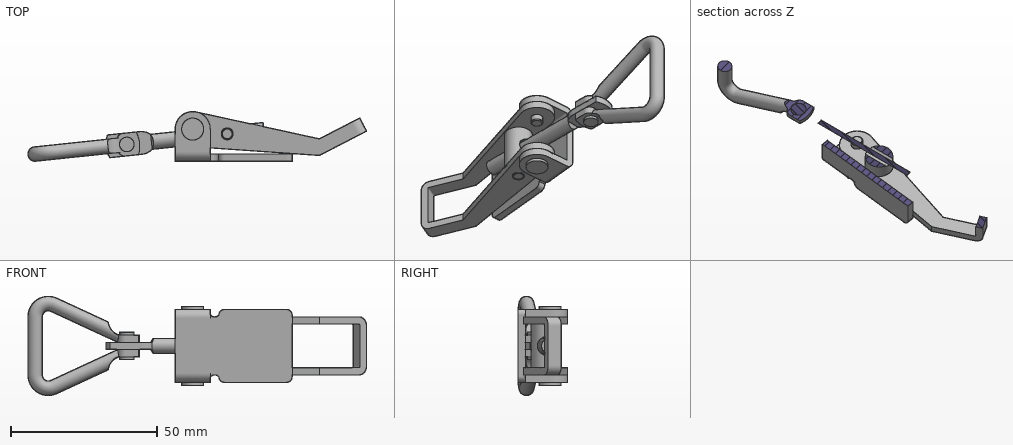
import cadquery as cq
import math


SHEET = 2.5
BEND_OUTER = 3.0
BEND_INNER = BEND_OUTER - SHEET
HUB_RADIUS = 6.0

BRACKET_WIDTH = 25.0
BRACKET_LENGTH = 40.1
PIVOT_HEIGHT = 11.0
PLATE_CORNER = 2.0
NOTCH_DEPTH = 2.5
NOTCH_START_DEPTH = 1.7
NOTCH_LENGTH = 2.9
NOTCH_ROUND = 2.0

LEVER_WIDTH = BRACKET_WIDTH - 2 * SHEET
LEVER_GAP = LEVER_WIDTH - 2 * SHEET
LEVER_BEND_X = 43.3
LEVER_BEND_Y = -9.0
GRIP_ANGLE = 27.3
GRIP_LENGTH = 18.2
GRIP_WIDTH = 5.1

RIVET_HEAD_DIAMETER = 7.5
RIVET_HEAD_HEIGHT = 1.0
JOURNAL_DIAMETER = 4.0
RIVET_TAIL = 2.3
JOURNAL_CHAMFER = 0.3
TRUNNION_CENTER = (11.8, -1.6, 0)
TRUNNION_DIAMETER = 9.6

LINK_ANGLE = 6
LINK_LENGTH = 34.5
EYE_THICKNESS = 2.4
EYE_HALF_HEIGHT = 3.9
EYE_BACK = -7.2
EYE_BACK_CORNER = -6.3
EYE_SHOULDER = 4.8
EYE_FRONT = 8.5
NECK_LENGTH = 0.7
ROD_DIAMETER = 5.2
ROD_END = 47.2
ROD_CLEARANCE_DIAMETER = 6.3

LOOP_PIN_DIAMETER = 5.0
LOOP_PIN_LENGTH = 9.4
WIRE_DIAMETER = 5.0
LOOP_BAR_X = -31.5
LOOP_BAR_HALF = 10.0
LOOP_BEND = 4.5
LOOP_ARM_ANGLE = 24.7
LUG_OUTER_Z = 3.7
LUG_BACK = -3.2
LUG_FRONT_CORNER = 3.6
LUG_FRONT = 4.4
LUG_CORNER = 2.4
RELIEF_START_X = -6.5
RELIEF_START_Z = 8.3
RELIEF_END_X = -2.5
RELIEF_MIDDLE = (-5.6, 5.6)


def direction(angle):
    """Unit vector in the XY plane at an angle in degrees."""
    return cq.Vector(math.cos(math.radians(angle)), math.sin(math.radians(angle)), 0)


def hub_tangent(point, side):
    """Point where the line from an outer point touches the hub circle; side +1 is above, -1 below."""
    angle = math.atan2(point.y, point.x) + side * math.acos(HUB_RADIUS / point.Length)
    return (HUB_RADIUS * math.cos(angle), HUB_RADIUS * math.sin(angle))


def cylinder_z(diameter, length):
    """Cylinder along Z, centred on the origin."""
    return cq.Workplane("XY").circle(diameter / 2).extrude(length / 2, both=True)


def box_y(length, bottom, top, width):
    """Block centred on the origin in X and Z, spanning bottom to top in Y."""
    return (
        cq.Workplane("XY")
        .box(length, top - bottom, width, centered=(True, False, True))
        .translate((0, bottom, 0))
    )


def make_bracket():
    ear_length = 2 * HUB_RADIUS
    channel = (
        box_y(ear_length, -PIVOT_HEIGHT, HUB_RADIUS, BRACKET_WIDTH)
        .edges("|X and <Y")
        .fillet(BEND_OUTER)
    )
    inside = (
        box_y(ear_length, SHEET - PIVOT_HEIGHT, HUB_RADIUS, LEVER_WIDTH)
        .edges("|X and <Y")
        .fillet(BEND_INNER)
    )
    ear_outline = (
        cq.Workplane("XY")
        .moveTo(-HUB_RADIUS, -PIVOT_HEIGHT)
        .lineTo(HUB_RADIUS, -PIVOT_HEIGHT)
        .lineTo(HUB_RADIUS, 0)
        .threePointArc((0, HUB_RADIUS), (-HUB_RADIUS, 0))
        .close()
        .extrude(BRACKET_WIDTH / 2, both=True)
    )
    ears = channel.cut(inside).intersect(ear_outline)

    half_plate = make_half_plate()
    return (
        ears.union(half_plate)
        .union(half_plate.mirror("XY"))
        .cut(cylinder_z(JOURNAL_DIAMETER, BRACKET_WIDTH))
    )


def make_half_plate():
    """Upper half of the base plate beyond the ears, with the hollow bend relief beside the ear."""
    edge = BRACKET_WIDTH / 2
    hollow_end = HUB_RADIUS + NOTCH_LENGTH
    round_center = (hollow_end + NOTCH_ROUND, edge - NOTCH_ROUND)
    round_middle = (
        round_center[0] - NOTCH_ROUND * math.sqrt(0.5),
        round_center[1] + NOTCH_ROUND * math.sqrt(0.5),
    )
    return (
        cq.Workplane("XZ", origin=(0, -PIVOT_HEIGHT, 0))
        .moveTo(HUB_RADIUS, 0)
        .lineTo(HUB_RADIUS, edge - NOTCH_START_DEPTH)
        .threePointArc(
            (HUB_RADIUS + NOTCH_LENGTH / 2, edge - NOTCH_DEPTH),
            (hollow_end, edge - NOTCH_ROUND),
        )
        .threePointArc(round_middle, (round_center[0], edge))
        .lineTo(BRACKET_LENGTH - HUB_RADIUS, edge)
        .lineTo(BRACKET_LENGTH - HUB_RADIUS, 0)
        .close()
        .extrude(-SHEET)
        .edges("|Y and >X and >Z")
        .fillet(PLATE_CORNER)
    )


def bent_strip(plane, reach, width, corner):
    """Long block ending at the plane origin, with its two end corners rounded."""
    return (
        cq.Workplane(plane)
        .moveTo(-reach, -width / 2)
        .lineTo(0, -width / 2)
        .lineTo(0, width / 2)
        .lineTo(-reach, width / 2)
        .close()
        .extrude(reach, both=True)
        .edges(cq.selectors.ParallelDirSelector(plane.zDir))
        .edges(cq.selectors.DirectionMinMaxSelector(plane.xDir))
        .fillet(corner)
    )


def make_lever():
    along = direction(GRIP_ANGLE)
    across = direction(GRIP_ANGLE + 90)
    bend_bottom = cq.Vector(LEVER_BEND_X, LEVER_BEND_Y, 0)
    bend_top = bend_bottom + cq.Vector(0, GRIP_WIDTH / math.cos(math.radians(GRIP_ANGLE)), 0)
    tip_bottom = bend_bottom + along * GRIP_LENGTH
    tip_top = tip_bottom + across * GRIP_WIDTH
    side = (
        cq.Workplane("XY")
        .moveTo(*hub_tangent(bend_bottom, -1))
        .lineTo(bend_bottom.x, bend_bottom.y)
        .lineTo(tip_bottom.x, tip_bottom.y)
        .lineTo(tip_top.x, tip_top.y)
        .lineTo(bend_top.x, bend_top.y)
        .lineTo(*hub_tangent(bend_top, 1))
        .threePointArc((-HUB_RADIUS, 0), hub_tangent(bend_bottom, -1))
        .close()
        .extrude(LEVER_WIDTH / 2, both=True)
    )
    reach = 2 * LEVER_BEND_X
    outer_end = cq.Plane(origin=tip_bottom, xDir=along, normal=across)
    inner_end = cq.Plane(origin=tip_bottom - along * SHEET, xDir=along, normal=across)
    return (
        side.intersect(bent_strip(outer_end, reach, LEVER_WIDTH, BEND_OUTER))
        .cut(bent_strip(inner_end, reach, LEVER_GAP, BEND_INNER))
        .cut(cylinder_z(JOURNAL_DIAMETER, LEVER_WIDTH))
        .cut(cylinder_z(JOURNAL_DIAMETER, LEVER_WIDTH).translate(TRUNNION_CENTER))
    )


def make_pivot_rivet(side):
    shank_bottom = LEVER_GAP / 2 - RIVET_TAIL
    rivet = (
        cq.Workplane("XY", origin=(0, 0, shank_bottom))
        .circle(JOURNAL_DIAMETER / 2)
        .extrude(BRACKET_WIDTH / 2 - shank_bottom)
        .faces("<Z")
        .chamfer(JOURNAL_CHAMFER)
        .faces(">Z")
        .workplane()
        .circle(RIVET_HEAD_DIAMETER / 2)
        .extrude(RIVET_HEAD_HEIGHT)
    )
    return rivet if side > 0 else rivet.mirror("XY")


def make_trunnion():
    clearance = (
        cq.Workplane("YZ").circle(ROD_CLEARANCE_DIAMETER / 2).extrude(TRUNNION_DIAMETER, both=True)
    )
    return (
        cylinder_z(JOURNAL_DIAMETER, LEVER_WIDTH)
        .faces("<Z or >Z")
        .chamfer(JOURNAL_CHAMFER)
        .union(cylinder_z(TRUNNION_DIAMETER, LEVER_GAP))
        .cut(clearance.rotate((0, 0, 0), (0, 0, 1), LINK_ANGLE))
        .translate(TRUNNION_CENTER)
    )


def make_eye_rod():
    rod_radius = ROD_DIAMETER / 2
    half_eye = (
        cq.Workplane("XY")
        .moveTo(EYE_BACK_CORNER, 0)
        .lineTo(EYE_BACK_CORNER, EYE_HALF_HEIGHT)
        .lineTo(EYE_SHOULDER, EYE_HALF_HEIGHT)
        .tangentArcPoint((EYE_FRONT, rod_radius), relative=False)
        .lineTo(EYE_FRONT, 0)
        .close()
        .extrude(EYE_THICKNESS / 2, both=True)
    )
    eye_back = (
        cq.Workplane("XY")
        .moveTo(EYE_BACK_CORNER, -EYE_HALF_HEIGHT)
        .threePointArc((EYE_BACK, 0), (EYE_BACK_CORNER, EYE_HALF_HEIGHT))
        .close()
        .extrude(EYE_THICKNESS / 2, both=True)
    )
    eye = half_eye.union(half_eye.mirror("XZ")).union(eye_back)
    rod = cq.Workplane("YZ", origin=(EYE_FRONT, 0, 0)).circle(rod_radius).extrude(ROD_END - EYE_FRONT)
    ramp_cut = (
        cq.Workplane("XZ")
        .moveTo(EYE_FRONT, EYE_THICKNESS / 2)
        .lineTo(EYE_FRONT + NECK_LENGTH, rod_radius)
        .lineTo(EYE_FRONT, rod_radius)
        .close()
        .extrude(rod_radius, both=True)
    )
    rod = rod.cut(ramp_cut).cut(ramp_cut.mirror("XY"))
    return eye.union(rod).cut(cylinder_z(LOOP_PIN_DIAMETER, LOOP_PIN_LENGTH))


def make_half_loop():
    """Upper half of the loop, from the middle of its bar to its lug."""
    bend_center = cq.Vector(LOOP_BAR_X + LOOP_BEND, 0, LOOP_BAR_HALF)
    slope = math.radians(LOOP_ARM_ANGLE)

    def on_bend(angle):
        return (bend_center.x + LOOP_BEND * math.cos(angle), bend_center.z + LOOP_BEND * math.sin(angle))

    arm_start_angle = math.pi / 2 - slope
    arm_start = on_bend(arm_start_angle)
    arm_end = (0, arm_start[1] + arm_start[0] * math.tan(slope))
    path = (
        cq.Workplane("XZ")
        .moveTo(LOOP_BAR_X, 0)
        .lineTo(LOOP_BAR_X, LOOP_BAR_HALF)
        .threePointArc(on_bend((math.pi + arm_start_angle) / 2), arm_start)
        .lineTo(*arm_end)
    )
    wire = cq.Workplane("XY", origin=(LOOP_BAR_X, 0, 0)).circle(WIRE_DIAMETER / 2).sweep(path)
    relief = (
        cq.Workplane("XZ")
        .moveTo(RELIEF_START_X, RELIEF_START_Z)
        .threePointArc(RELIEF_MIDDLE, (RELIEF_END_X, LUG_OUTER_Z))
        .lineTo(WIRE_DIAMETER, LUG_OUTER_Z)
        .lineTo(WIRE_DIAMETER, RELIEF_START_Z)
        .close()
        .extrude(WIRE_DIAMETER, both=True)
    )
    slot = cq.Workplane("XY").box(-2 * EYE_BACK, 2 * EYE_HALF_HEIGHT, EYE_THICKNESS)
    lug = (
        cq.Workplane("XY", origin=(0, 0, EYE_THICKNESS / 2))
        .moveTo(LUG_BACK, -EYE_HALF_HEIGHT)
        .lineTo(LUG_FRONT_CORNER, -EYE_HALF_HEIGHT)
        .threePointArc((LUG_FRONT, 0), (LUG_FRONT_CORNER, EYE_HALF_HEIGHT))
        .lineTo(LUG_BACK, EYE_HALF_HEIGHT)
        .close()
        .extrude(LUG_OUTER_Z - EYE_THICKNESS / 2)
        .edges("|Z and <X")
        .fillet(LUG_CORNER)
    )
    return wire.cut(relief).cut(slot).union(lug)


def make_loop():
    half = make_half_loop()
    return half.union(half.mirror("XY")).cut(cylinder_z(LOOP_PIN_DIAMETER, LOOP_PIN_LENGTH))


def place_link(body):
    """Move a link body from its own frame to its tilted place on the trunnion."""
    loop_pin_center = cq.Vector(*TRUNNION_CENTER) - direction(LINK_ANGLE) * LINK_LENGTH
    return body.rotate((0, 0, 0), (0, 0, 1), LINK_ANGLE).translate(loop_pin_center)


bracket = make_bracket()
lever = make_lever()
pivot_rivets = [make_pivot_rivet(side) for side in (1, -1)]
trunnion = make_trunnion()
eye_rod = place_link(make_eye_rod())
loop = place_link(make_loop())
loop_pin = place_link(cylinder_z(LOOP_PIN_DIAMETER, LOOP_PIN_LENGTH))

result = cq.Compound.makeCompound(
    [
        bracket.val(),
        lever.val(),
        *[rivet.val() for rivet in pivot_rivets],
        trunnion.val(),
        eye_rod.val(),
        loop.val(),
        loop_pin.val(),
    ]
)